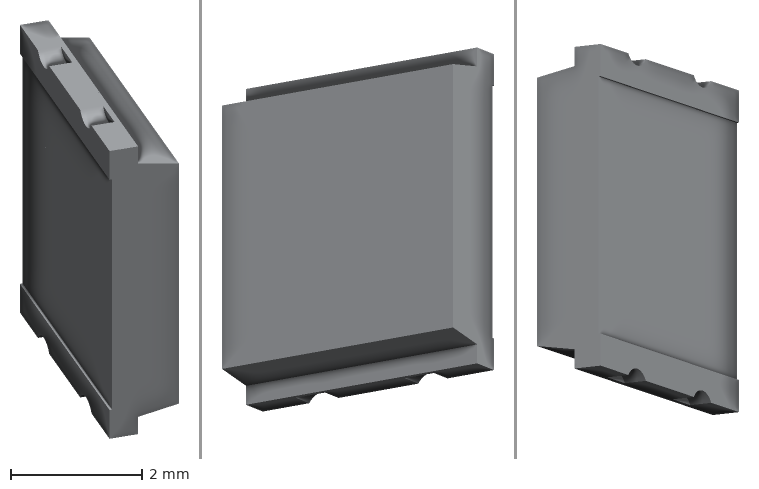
import cadquery as cq

WIDTH = 4.24
HEIGHT = 5.0
DEPTH = 1.12

LENS_DEPTH = 0.66
PAD_THICKNESS = 0.02
BOARD_RECESS = 0.02
BOARD_DEPTH = DEPTH - LENS_DEPTH - PAD_THICKNESS
TERMINAL_FRONT = -BOARD_DEPTH - PAD_THICKNESS
BOARD_FACE = -BOARD_DEPTH + BOARD_RECESS

LENS_BASE_HEIGHT = 4.4
LENS_FACE_HEIGHT = 4.17

PAD_HEIGHT = 0.5
NOTCH_SPACING = 2.0
NOTCH_RADIUS = 0.32
NOTCH_CENTRE_OUTSIDE = 0.175
PLUG_DEPTH = 0.09

MARK_THICKNESS = 0.02
MARK_HEIGHT = 2.58
STEM_WIDTH = 0.125
TRIANGLE_WIDTH = 2.27
TRIANGLE_TOP = 0.925
TRIANGLE_BOTTOM = -0.45
BAR_WIDTH = 2.12
BAR_THICKNESS = 0.14
BAR_CENTRE = -0.625

ENDS = (1, -1)
NOTCH_XS = (-NOTCH_SPACING / 2, NOTCH_SPACING / 2)


def block(width, height, y_front, y_back, z_centre=0.0):
    """Block centred on X = 0 between two Y planes."""
    return (
        cq.Workplane("XY")
        .box(width, y_back - y_front, height)
        .translate((0, (y_front + y_back) / 2, z_centre))
    )


def end_band(end, y_front, y_back):
    """Full-width strip along the top or bottom edge."""
    return block(WIDTH, PAD_HEIGHT, y_front, y_back, end * (HEIGHT - PAD_HEIGHT) / 2)


def rod(x, end, radius, y_front, y_back):
    """Cylinder along Y on the axis of one edge notch."""
    z = end * (HEIGHT / 2 + NOTCH_CENTRE_OUTSIDE)
    return (
        cq.Workplane("XZ", origin=(x, y_front, z))
        .circle(radius)
        .extrude(y_front - y_back)
    )


def make_terminal(end):
    """Front pad and inset back pad, joined by the plating of two notches."""
    terminal = end_band(end, TERMINAL_FRONT, -BOARD_DEPTH)
    terminal = terminal.union(end_band(end, -PAD_THICKNESS, 0))
    for x in NOTCH_XS:
        sleeve = rod(x, end, NOTCH_RADIUS + PAD_THICKNESS, TERMINAL_FRONT, 0)
        terminal = terminal.union(sleeve.intersect(end_band(end, TERMINAL_FRONT, 0)))
    for x in NOTCH_XS:
        terminal = terminal.cut(rod(x, end, NOTCH_RADIUS, TERMINAL_FRONT, 0))
    return terminal


def make_plug(x, end):
    """Plug that closes the lens end of one notch, flush with the board edge."""
    return rod(x, end, NOTCH_RADIUS, -PLUG_DEPTH, 0).intersect(end_band(end, -PLUG_DEPTH, 0))


def make_diode_mark():
    """Diode symbol: a stem, a triangle pointing down and a crossbar."""
    front = BOARD_FACE
    back = front + MARK_THICKNESS
    stem = block(STEM_WIDTH, MARK_HEIGHT, front, back)
    bar = block(BAR_WIDTH, BAR_THICKNESS, front, back, BAR_CENTRE)
    triangle = (
        cq.Workplane("XZ", origin=(0, front, 0))
        .moveTo(-TRIANGLE_WIDTH / 2, TRIANGLE_TOP)
        .lineTo(TRIANGLE_WIDTH / 2, TRIANGLE_TOP)
        .lineTo(STEM_WIDTH / 2, TRIANGLE_BOTTOM)
        .lineTo(-STEM_WIDTH / 2, TRIANGLE_BOTTOM)
        .close()
        .extrude(-MARK_THICKNESS)
    )
    return stem.union(triangle).union(bar)


def make_board(diode_mark):
    """Board with room for the back pads and notches, set back between the front pads."""
    board = block(WIDTH, HEIGHT, -BOARD_DEPTH, 0)
    board = board.cut(block(WIDTH, HEIGHT - 2 * PAD_HEIGHT, -BOARD_DEPTH, BOARD_FACE))
    for end in ENDS:
        board = board.cut(end_band(end, -PAD_THICKNESS, 0))
        for x in NOTCH_XS:
            board = board.cut(rod(x, end, NOTCH_RADIUS + PAD_THICKNESS, -BOARD_DEPTH, 0))
    return board.cut(diode_mark)


def make_lens():
    """Trapezoid profile in the YZ plane, carried across the full width."""
    return (
        cq.Workplane("YZ")
        .moveTo(0, -LENS_BASE_HEIGHT / 2)
        .lineTo(LENS_DEPTH, -LENS_FACE_HEIGHT / 2)
        .lineTo(LENS_DEPTH, LENS_FACE_HEIGHT / 2)
        .lineTo(0, LENS_BASE_HEIGHT / 2)
        .close()
        .extrude(WIDTH / 2, both=True)
    )


lens = make_lens()
diode_mark = make_diode_mark()
board = make_board(diode_mark)
terminals = [make_terminal(end) for end in ENDS]
plugs = [make_plug(x, end) for end in ENDS for x in NOTCH_XS]

result = cq.Compound.makeCompound([
    board.val(),
    lens.val(),
    diode_mark.val(),
    *[terminal.val() for terminal in terminals],
    *[plug.val() for plug in plugs],
])